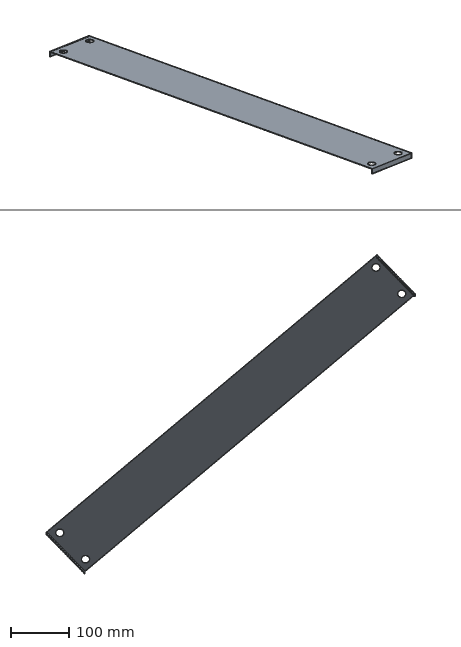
import cadquery as cq

length = 767.0
width = 98.0
height = 10.0
thickness = 1.5

hole_diameter = 14.0
hole_end_inset = 17.0
hole_side_inset = 16.0


def standing_block(block_length, block_height):
    """Full-width block centred in X and Y and standing on Z = 0."""
    return cq.Workplane("XY").box(block_length, width, block_height, centered=(True, True, False))


outside = standing_block(length, height)
inside = standing_block(length - 2 * thickness, height - thickness)
flanged_sheet = outside.cut(inside)

result = (
    flanged_sheet.faces(">Z")
    .workplane(origin=(0, 0, height))
    .rarray(length - 2 * hole_end_inset, width - 2 * hole_side_inset, 2, 2)
    .hole(hole_diameter)
)